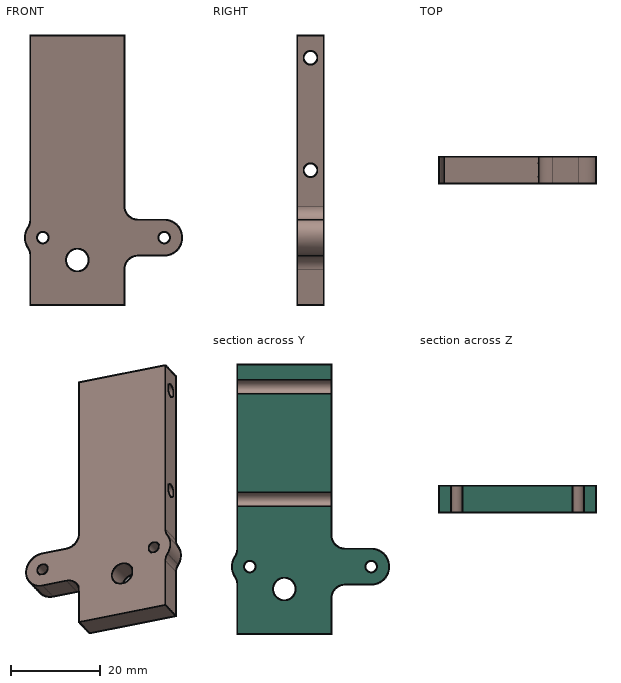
import cadquery as cq
import math

plate_width = 21.0
plate_height = 60.0
thickness = 6.0

ear_radius = 4.0
ear_height = 15.0
ear_spacing = 27.0
left_ear_x = 2.8
right_ear_x = left_ear_x + ear_spacing
blend_radius = 3.0

ear_hole_diameter = 2.5
pivot_hole_diameter = 5.0
pivot_hole_x = plate_width / 2
pivot_hole_height = 10.0
cross_hole_diameter = 3.0
cross_hole_heights = (30.0, 55.0)

blend_centre_x = -blend_radius
blend_rise = math.sqrt((ear_radius + blend_radius) ** 2 - (left_ear_x + blend_radius) ** 2)
touch_fraction = ear_radius / (ear_radius + blend_radius)
touch_x = left_ear_x + touch_fraction * (blend_centre_x - left_ear_x)
touch_rise = touch_fraction * blend_rise

half_sweep = math.atan2(blend_rise, left_ear_x + blend_radius) / 2
blend_mid_x = blend_centre_x + blend_radius * math.cos(half_sweep)
blend_mid_rise = blend_rise - blend_radius * math.sin(half_sweep)


def extrude_back(sketch):
    """Extrude an XZ sketch from the front face through the thickness."""
    return sketch.extrude(-thickness)


def make_body():
    """Plate with the left bulge and the right arm, with blended corners."""
    arm_top = ear_height + ear_radius
    arm_bottom = ear_height - ear_radius
    arm_start_x = plate_width + blend_radius
    arc_inset = blend_radius * (1 - math.sqrt(0.5))
    outline = (
        cq.Workplane("XZ")
        .moveTo(0, 0)
        .lineTo(plate_width, 0)
        .lineTo(plate_width, arm_bottom - blend_radius)
        .threePointArc((plate_width + arc_inset, arm_bottom - arc_inset), (arm_start_x, arm_bottom))
        .lineTo(right_ear_x, arm_bottom)
        .threePointArc((right_ear_x + ear_radius, ear_height), (right_ear_x, arm_top))
        .lineTo(arm_start_x, arm_top)
        .threePointArc((plate_width + arc_inset, arm_top + arc_inset), (plate_width, arm_top + blend_radius))
        .lineTo(plate_width, plate_height)
        .lineTo(0, plate_height)
        .lineTo(0, ear_height + blend_rise)
        .threePointArc((blend_mid_x, ear_height + blend_mid_rise), (touch_x, ear_height + touch_rise))
        .threePointArc((left_ear_x - ear_radius, ear_height), (touch_x, ear_height - touch_rise))
        .threePointArc((blend_mid_x, ear_height - blend_mid_rise), (0, ear_height - blend_rise))
        .close()
    )
    return extrude_back(outline)


def face_hole(x, z, diameter):
    """Cutter for a hole through the thickness."""
    return extrude_back(cq.Workplane("XZ").center(x, z).circle(diameter / 2))


def cross_hole(z):
    """Cutter for a hole across the full plate width, centred in the thickness."""
    sketch = cq.Workplane("YZ").center(thickness / 2, z).circle(cross_hole_diameter / 2)
    return sketch.extrude(plate_width)


result = make_body()
for ear_x in (left_ear_x, right_ear_x):
    result = result.cut(face_hole(ear_x, ear_height, ear_hole_diameter))
result = result.cut(face_hole(pivot_hole_x, pivot_hole_height, pivot_hole_diameter))
for hole_height in cross_hole_heights:
    result = result.cut(cross_hole(hole_height))